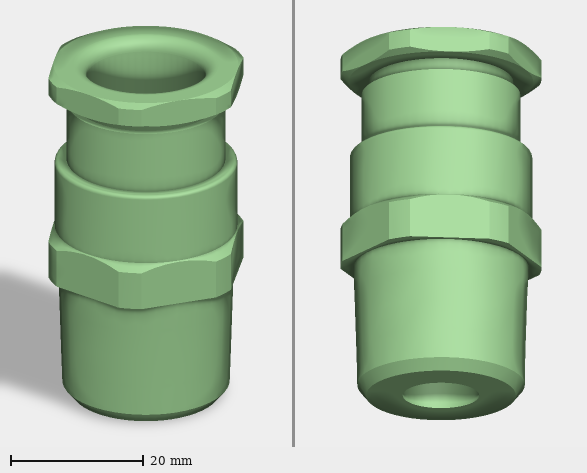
import cadquery as cq
import math

total_height = 54.25
entry_chamfer_top_z = 1.7
body_hex_bottom_z = 20.45
body_hex_top_z = 27.5
body_top_z = 38.55
undercut_bottom_z = 48.2
gland_hex_bottom_z = 50.3
seat_z = body_hex_top_z

across_flats = 28.0
corner_radius = 15.25
flat_radius = across_flats / 2
head_bevel_height = 0.6
body_bevel_height = 1.1

shank_radius = 12.05
undercut_radius = 10.95
gland_bore_radius = 9.0
mouth_round = 2.0

collar_radius = 13.85
collar_round = 0.55
taper_top_radius = 13.3
taper_bottom_radius = 12.7
entry_radius = 11.35
passage_mouth_radius = 7.55
passage_top_radius = 7.0
passage_bottom_radius = 5.8
passage_mouth_chamfer = passage_mouth_radius - passage_top_radius


def revolved(profile):
    """Solid of revolution about Z from a list of (radius, z) points."""
    return cq.Workplane("XZ").polyline(profile).close().revolve(360, (0, 0), (0, 1))


def cylinder(radius, bottom_z, top_z):
    return cq.Workplane("XY").workplane(offset=bottom_z).circle(radius).extrude(top_z - bottom_z)


def hexagon(bottom_z, top_z, turning_profile):
    """Hexagonal prism with corners on the Y axis, trimmed by a turned profile."""
    across_corners = across_flats / math.cos(math.pi / 6)
    prism = (
        cq.Workplane("XY")
        .workplane(offset=bottom_z)
        .transformed(rotate=(0, 0, 90))
        .polygon(6, across_corners)
        .extrude(top_z - bottom_z)
    )
    return prism.intersect(revolved(turning_profile))


def make_gland():
    """Hollow gland screw: beveled hexagon head, undercut and plain shank."""
    head = hexagon(gland_hex_bottom_z, total_height, [
        (0, gland_hex_bottom_z),
        (flat_radius, gland_hex_bottom_z),
        (corner_radius, gland_hex_bottom_z + head_bevel_height),
        (corner_radius, total_height - head_bevel_height),
        (flat_radius, total_height),
        (0, total_height),
    ])
    undercut = cylinder(undercut_radius, undercut_bottom_z, gland_hex_bottom_z)
    shank = cylinder(shank_radius, seat_z, undercut_bottom_z)
    bore = cylinder(gland_bore_radius, seat_z, total_height)
    gland = head.union(undercut).union(shank).cut(bore)

    mouth_edge = cq.selectors.RadiusNthSelector(0)
    return gland.faces(">Z").edges("%CIRCLE").edges(mouth_edge).fillet(mouth_round)


def make_body():
    """Body: collar, hexagon and tapered lower end, with a socket for the gland."""
    collar = cylinder(collar_radius, body_hex_top_z, body_top_z)
    collar = collar.faces(">Z").edges().fillet(collar_round)

    hex_section = hexagon(body_hex_bottom_z, body_hex_top_z, [
        (0, body_hex_bottom_z),
        (corner_radius, body_hex_bottom_z),
        (corner_radius, body_hex_top_z - body_bevel_height),
        (collar_radius, body_hex_top_z),
        (0, body_hex_top_z),
    ])
    tapered_end = revolved([
        (0, 0),
        (entry_radius, 0),
        (taper_bottom_radius, entry_chamfer_top_z),
        (taper_top_radius, body_hex_bottom_z),
        (0, body_hex_bottom_z),
    ])
    socket = cylinder(shank_radius, seat_z, body_top_z)

    passage = revolved([
        (0, 0),
        (passage_bottom_radius, 0),
        (passage_top_radius, seat_z - passage_mouth_chamfer),
        (passage_mouth_radius, seat_z),
        (0, seat_z),
    ])
    return collar.union(hex_section).union(tapered_end).cut(socket).cut(passage)


gland = make_gland()
body = make_body()
result = cq.Compound.makeCompound([body.val(), gland.val()])